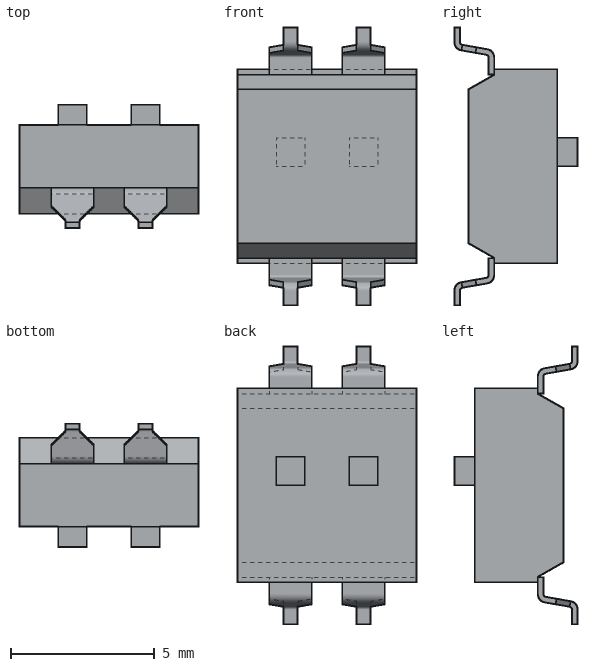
import cadquery as cq
import math

HOUSING_WIDTH = 6.24
HOUSING_DEPTH = 3.1
HOUSING_HALF_HEIGHT = 3.38
LEDGE_SETBACK = 0.9
LEDGE_HEIGHT = 0.18
BEVEL_HEIGHT = 0.51

PEG_SIZE = 1.0
PEG_LENGTH = 0.71
PEG_BOTTOM_Z = 0.0

PITCH = 2.54
LEAD_END_Z = 4.845
LEAD_PROTRUSION = 0.49
SHEET = 0.2
BEND_INNER_RADIUS = 0.1
ROOT_WIDTH = 1.49
TIP_WIDTH = 0.49
TIP_LENGTH = 0.51
SHANK_TILT = math.radians(10)

BEND_OUTER_RADIUS = BEND_INNER_RADIUS + SHEET
BEND_SWEEP = math.pi / 2 - SHANK_TILT
COLUMNS = (-PITCH / 2, PITCH / 2)
LEDGE_BOTTOM_Z = HOUSING_HALF_HEIGHT - LEDGE_HEIGHT
FRONT_EDGE_Z = LEDGE_BOTTOM_Z - BEVEL_HEIGHT
TIP_FRONT_Y = -LEAD_PROTRUSION
TIP_BACK_Y = TIP_FRONT_Y + SHEET
TIP_BOTTOM_Z = LEAD_END_Z - TIP_LENGTH

ROOT_CENTRE_Y = LEDGE_SETBACK - BEND_OUTER_RADIUS
TIP_CENTRE_Y = TIP_BACK_Y + BEND_INNER_RADIUS
CENTRE_RUN = ROOT_CENTRE_Y - TIP_CENTRE_Y
BEND_RADII = BEND_OUTER_RADIUS + BEND_INNER_RADIUS
CENTRE_RISE = BEND_RADII / math.cos(SHANK_TILT) + CENTRE_RUN * math.tan(SHANK_TILT)
ROOT_CENTRE_Z = TIP_BOTTOM_Z - CENTRE_RISE


def make_housing():
    upper_outline = [
        (HOUSING_DEPTH, HOUSING_HALF_HEIGHT),
        (LEDGE_SETBACK, HOUSING_HALF_HEIGHT),
        (LEDGE_SETBACK, LEDGE_BOTTOM_Z),
        (0, FRONT_EDGE_Z),
    ]
    lower_outline = [(y, -z) for y, z in reversed(upper_outline)]
    body = (
        cq.Workplane("YZ")
        .polyline(upper_outline + lower_outline)
        .close()
        .extrude(HOUSING_WIDTH / 2, both=True)
    )
    for x in COLUMNS:
        peg = cq.Workplane("XY").box(PEG_SIZE, PEG_LENGTH, PEG_SIZE, centered=(True, False, False))
        body = body.union(peg.translate((x, HOUSING_DEPTH, PEG_BOTTOM_Z)))
    return body


def root_bend_point(radius, angle):
    """Point on the root bend; the angle is 0 at the upright root and grows toward the shank."""
    return (ROOT_CENTRE_Y + radius * math.cos(angle), ROOT_CENTRE_Z + radius * math.sin(angle))


def tip_bend_point(radius, angle):
    """Point on the tip bend; the angle is 0 at the upright tip and grows toward the shank."""
    return (TIP_CENTRE_Y - radius * math.cos(angle), TIP_BOTTOM_Z - radius * math.sin(angle))


def bent_strip():
    """Upper lead at full root width all the way along."""
    return (
        cq.Workplane("YZ")
        .moveTo(LEDGE_SETBACK, LEDGE_BOTTOM_Z)
        .lineTo(LEDGE_SETBACK, ROOT_CENTRE_Z)
        .threePointArc(
            root_bend_point(BEND_OUTER_RADIUS, BEND_SWEEP / 2),
            root_bend_point(BEND_OUTER_RADIUS, BEND_SWEEP),
        )
        .lineTo(*tip_bend_point(BEND_INNER_RADIUS, BEND_SWEEP))
        .threePointArc(
            tip_bend_point(BEND_INNER_RADIUS, BEND_SWEEP / 2),
            tip_bend_point(BEND_INNER_RADIUS, 0),
        )
        .lineTo(TIP_BACK_Y, LEAD_END_Z)
        .lineTo(TIP_FRONT_Y, LEAD_END_Z)
        .lineTo(TIP_FRONT_Y, TIP_BOTTOM_Z)
        .threePointArc(
            tip_bend_point(BEND_OUTER_RADIUS, BEND_SWEEP / 2),
            tip_bend_point(BEND_OUTER_RADIUS, BEND_SWEEP),
        )
        .lineTo(*root_bend_point(BEND_INNER_RADIUS, BEND_SWEEP))
        .threePointArc(
            root_bend_point(BEND_INNER_RADIUS, BEND_SWEEP / 2),
            root_bend_point(BEND_INNER_RADIUS, 0),
        )
        .lineTo(LEDGE_SETBACK - SHEET, LEDGE_BOTTOM_Z)
        .close()
        .extrude(ROOT_WIDTH / 2, both=True)
    )


def width_envelope():
    """Prism square to the shank that tapers at 45 degrees and narrows to the tip at its bend."""
    reach = LEAD_END_Z
    half_root = ROOT_WIDTH / 2
    half_tip = TIP_WIDTH / 2
    taper_length = half_root - half_tip
    bend_start_y, bend_start_z = tip_bend_point(BEND_INNER_RADIUS, BEND_SWEEP)
    shank_plane = cq.Plane(
        origin=(0, bend_start_y, bend_start_z),
        xDir=(1, 0, 0),
        normal=(0, math.sin(SHANK_TILT), math.cos(SHANK_TILT)),
    )
    return (
        cq.Workplane(shank_plane)
        .polyline([
            (half_root, reach),
            (half_root, taper_length),
            (half_tip, 0),
            (half_tip, -reach),
            (-half_tip, -reach),
            (-half_tip, 0),
            (-half_root, taper_length),
            (-half_root, reach),
        ])
        .close()
        .extrude(reach, both=True)
    )


def make_leads():
    upper_lead = bent_strip().intersect(width_envelope())
    lower_lead = upper_lead.mirror("XY")
    leads = []
    for x in COLUMNS:
        for lead in (upper_lead, lower_lead):
            leads.append(lead.translate((x, 0, 0)).val())
    return leads


housing = make_housing()
leads = make_leads()
result = cq.Compound.makeCompound([housing.val(), *leads])